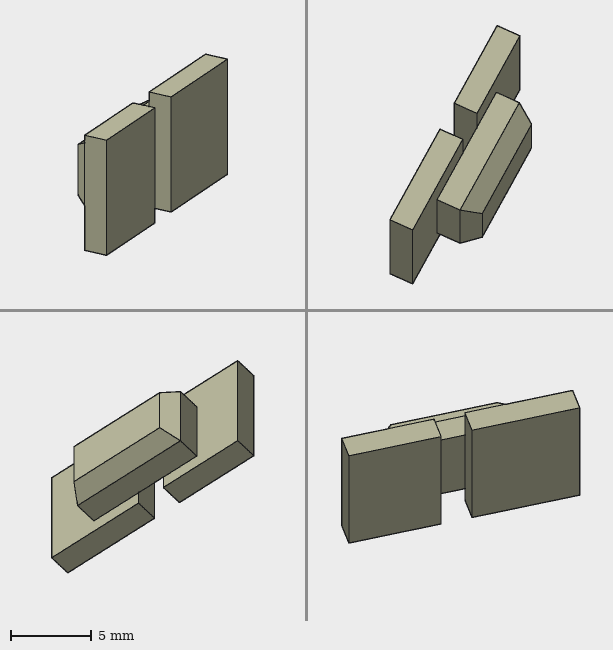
import cadquery as cq
import math

total_length = 15.0
plate_height = 7.8
plate_thickness = 1.59
short_plate_length = 6.0
plate_gap = 2.0
long_plate_start = short_plate_length + plate_gap
long_plate_length = total_length - long_plate_start

block_length = 8.3
block_height = 4.8
block_start_y = 3.3
block_start_z = 1.0
straight_depth = 1.6
taper_depth = 1.2
taper_angle = 30.0
taper_inset = taper_depth * math.tan(math.radians(taper_angle))


def plate(start_y, length):
    """Rectangular plate whose -X face lies on X = 0."""
    return cq.Workplane("XY").box(plate_thickness, length, plate_height, centered=False).translate(
        (0, start_y, 0)
    )


def bridge_block():
    """Straight block with a tapered nose pointing toward -X."""
    center_y = block_start_y + block_length / 2
    center_z = block_start_z + block_height / 2
    base = (
        cq.Workplane("YZ")
        .center(center_y, center_z)
        .rect(block_length, block_height)
        .extrude(-straight_depth)
    )
    nose = (
        cq.Workplane("YZ", origin=(-straight_depth, 0, 0))
        .center(center_y, center_z)
        .rect(block_length, block_height)
        .workplane(offset=-taper_depth)
        .rect(block_length - 2 * taper_inset, block_height - 2 * taper_inset)
        .loft(ruled=True)
    )
    return base.union(nose)


short_plate = plate(0, short_plate_length)
long_plate = plate(long_plate_start, long_plate_length)
result = bridge_block().union(short_plate).union(long_plate)